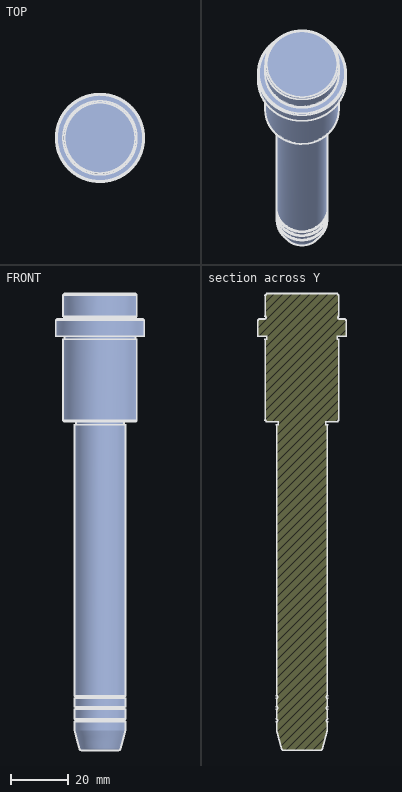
import cadquery as cq
import math

total_length = 160.0
head_length = 45.0
head_bottom = total_length - head_length
collar_top = total_length - 9.0
collar_bottom = total_length - 15.0

head_radius = 26.0 / 2
collar_radius = 31.0 / 2
shank_radius = 18.0 / 2

head_top_chamfer = 0.6
head_bottom_chamfer = 0.5
collar_chamfer = 0.5
tip_rounding = 1.0

taper_length = 7.0
taper_angle = 15.0
tip_radius = shank_radius - taper_length * math.tan(math.radians(taper_angle))

groove_width = 1.0
groove_depth = 0.5
shank_groove_centres = (10.5, 14.9, 18.7)


def cylinder(radius, bottom, top):
    return cq.Workplane("XY").workplane(offset=bottom).circle(radius).extrude(top - bottom)


def revolve_profile(points):
    """Ring made by turning a closed (radius, height) outline about the Z axis."""
    return cq.Workplane("XZ").polyline(points).close().revolve(360, (0, 0, 0), (0, 1, 0))


def vee_groove(radius, centre):
    """Ring that cuts a V-shaped groove into a cylinder of the given radius."""
    half_width = groove_width / 2
    return revolve_profile([
        (radius, centre - half_width),
        (radius - groove_depth, centre),
        (radius, centre + half_width),
    ])


def square_groove(radius, bottom):
    """Ring that cuts a square-sided groove into a cylinder of the given radius."""
    return revolve_profile([
        (radius, bottom),
        (radius - groove_depth, bottom),
        (radius - groove_depth, bottom + groove_width),
        (radius, bottom + groove_width),
    ])


def make_shank():
    tip = (
        cq.Workplane("XY")
        .circle(tip_radius)
        .workplane(offset=taper_length)
        .circle(shank_radius)
        .loft(ruled=True)
        .faces("<Z")
        .edges()
        .fillet(tip_rounding)
    )
    shank = tip.union(cylinder(shank_radius, taper_length, head_bottom))
    for centre in shank_groove_centres:
        shank = shank.cut(vee_groove(shank_radius, centre))
    return shank.cut(square_groove(shank_radius, head_bottom - groove_width))


def make_head():
    head = cylinder(head_radius, head_bottom, total_length)
    head = head.faces(">Z").edges().chamfer(head_top_chamfer)
    head = head.faces("<Z").edges().chamfer(head_bottom_chamfer)
    head = head.cut(vee_groove(head_radius, collar_top + groove_width / 2))
    head = head.cut(square_groove(head_radius, collar_bottom - groove_width))
    collar = cylinder(collar_radius, collar_bottom, collar_top)
    return head.union(collar.faces(">Z").edges().chamfer(collar_chamfer))


result = make_shank().union(make_head())